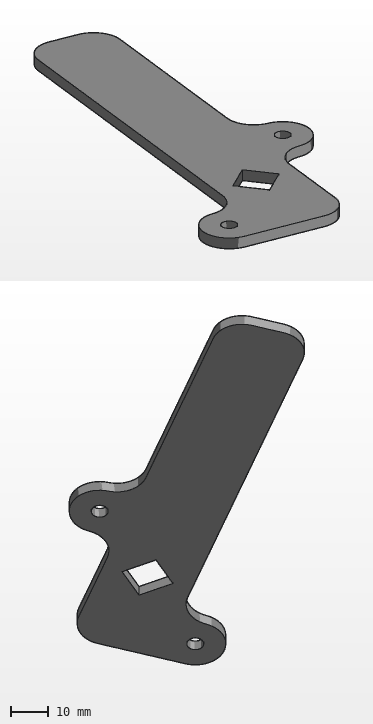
import cadquery as cq
import math

length = 128.0
thickness = 3.2
arm_width = 25.0
round_radius = 8.0
pivot_offset = 20.0
lug_hole_diameter = 4.5
square_side = 10.0

half_width = arm_width / 2
lower_lug_x = length - round_radius
square_x = lower_lug_x - pivot_offset
upper_lug_x = square_x - pivot_offset
lug_centers = [(upper_lug_x, pivot_offset), (lower_lug_x, -pivot_offset)]

fillet_center_y = half_width + round_radius
fillet_reach = math.sqrt((2 * round_radius) ** 2 - (fillet_center_y - pivot_offset) ** 2)


def rounded_arm():
    return (
        cq.Workplane("XY")
        .center(length / 2, 0)
        .rect(length, arm_width)
        .extrude(thickness)
        .edges("|Z")
        .fillet(round_radius)
    )


def lug(x, y):
    return cq.Workplane("XY").center(x, y).circle(round_radius).extrude(thickness)


def root_fillet(lug_x, side_x, side_y):
    """Web between a lug and the arm; side_x and side_y are +1 or -1."""
    center_x = lug_x + side_x * fillet_reach
    center_y = side_y * fillet_center_y
    lug_y = side_y * pivot_offset
    web = (
        cq.Workplane("XY")
        .moveTo(lug_x, 0)
        .lineTo(lug_x, lug_y)
        .lineTo(center_x, center_y)
        .lineTo(center_x, 0)
        .close()
        .extrude(thickness)
    )
    return web.cut(lug(center_x, center_y))


def lower_lug_side():
    """Straight outer side joining the lower lug to the end of the arm."""
    return (
        cq.Workplane("XY")
        .moveTo(lower_lug_x, -pivot_offset)
        .rect(round_radius, pivot_offset, centered=False)
        .extrude(thickness)
    )


plate = rounded_arm().union(lower_lug_side())
for lug_x, lug_y in lug_centers:
    plate = plate.union(lug(lug_x, lug_y))
plate = plate.union(root_fillet(upper_lug_x, -1, 1))
plate = plate.union(root_fillet(upper_lug_x, 1, 1))
plate = plate.union(root_fillet(lower_lug_x, -1, -1))

lug_holes = (
    cq.Workplane("XY").pushPoints(lug_centers).circle(lug_hole_diameter / 2).extrude(thickness)
)

square_hole = (
    cq.Workplane("XY")
    .center(square_x, 0)
    .transformed(rotate=(0, 0, 45))
    .rect(square_side, square_side)
    .extrude(thickness)
)

result = plate.cut(lug_holes).cut(square_hole).clean()